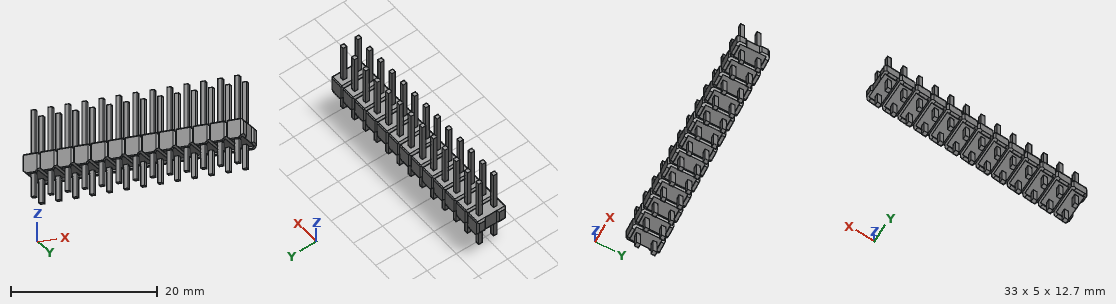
import cadquery as cq

LENGTH = 33.02
POSITIONS = 13
PITCH = LENGTH / POSITIONS

PIN_WIDTH = 0.63
PIN_LENGTH = 12.7
PIN_TAIL = 3.2

HOUSING_WIDTH = 5.0
HOUSING_HEIGHT = 2.8
END_INSET = 0.25
END_SETBACK = 0.315
SIDE_CHAMFER = 0.15
FOOT_CHAMFER = 0.55

CHANNEL_DEPTH = 0.3
FOOT_WIDTH = 0.5

RECESS_WIDTH = 1.88
RECESS_DEPTH = 0.248
RECESS_FLARE = 0.28

CUT_MARGIN = 0.33

housing_top = PIN_TAIL + HOUSING_HEIGHT
half_pitch = PITCH / 2
half_width = HOUSING_WIDTH / 2


def make_block():
    """One housing block: a plan outline intersected with its two side profiles."""
    plan = (
        cq.Workplane("XY")
        .workplane(offset=PIN_TAIL)
        .polyline([
            (half_pitch, half_width - END_SETBACK),
            (half_pitch - END_INSET, half_width),
            (END_INSET - half_pitch, half_width),
            (-half_pitch, half_width - END_SETBACK),
            (-half_pitch, END_SETBACK - half_width),
            (END_INSET - half_pitch, -half_width),
            (half_pitch - END_INSET, -half_width),
            (half_pitch, END_SETBACK - half_width),
        ])
        .close()
        .extrude(HOUSING_HEIGHT)
    )
    front_profile = (
        cq.Workplane("XZ")
        .polyline([
            (FOOT_CHAMFER - half_pitch, PIN_TAIL),
            (half_pitch - FOOT_CHAMFER, PIN_TAIL),
            (half_pitch, PIN_TAIL + FOOT_CHAMFER),
            (half_pitch, housing_top - END_SETBACK),
            (half_pitch - END_INSET, housing_top),
            (END_INSET - half_pitch, housing_top),
            (-half_pitch, housing_top - END_SETBACK),
            (-half_pitch, PIN_TAIL + FOOT_CHAMFER),
        ])
        .close()
        .extrude(half_width, both=True)
    )
    inner_foot = half_width - FOOT_WIDTH
    channel_top = PIN_TAIL + CHANNEL_DEPTH
    end_profile = (
        cq.Workplane("YZ")
        .polyline([
            (-half_width, PIN_TAIL),
            (-inner_foot, PIN_TAIL),
            (-inner_foot, channel_top),
            (inner_foot, channel_top),
            (inner_foot, PIN_TAIL),
            (half_width, PIN_TAIL),
            (half_width, housing_top - SIDE_CHAMFER),
            (half_width - SIDE_CHAMFER, housing_top),
            (SIDE_CHAMFER - half_width, housing_top),
            (-half_width, housing_top - SIDE_CHAMFER),
        ])
        .close()
        .extrude(half_pitch, both=True)
    )
    return plan.intersect(front_profile).intersect(end_profile)


def make_end_recess(side):
    """Cutter for the flared recess in one end face; side is -1 or +1 along X."""
    face_x = side * LENGTH / 2
    floor_x = face_x - side * RECESS_DEPTH
    floor_half = RECESS_WIDTH / 2
    mouth_half = floor_half + RECESS_FLARE
    return (
        cq.Workplane("XY")
        .workplane(offset=PIN_TAIL - CUT_MARGIN)
        .polyline([
            (floor_x, -floor_half),
            (face_x, -mouth_half),
            (face_x, mouth_half),
            (floor_x, floor_half),
        ])
        .close()
        .extrude(HOUSING_HEIGHT + 2 * CUT_MARGIN)
    )


position_centres = [(i - (POSITIONS - 1) / 2) * PITCH for i in range(POSITIONS)]

block = make_block()
result = cq.Workplane("XY")
for x in position_centres:
    result = result.union(block.translate((x, 0, 0)))
for side in (-1, 1):
    result = result.cut(make_end_recess(side))

pins = (
    cq.Workplane("XY")
    .pushPoints([(x, row * half_pitch) for x in position_centres for row in (-1, 1)])
    .rect(PIN_WIDTH, PIN_WIDTH)
    .extrude(PIN_LENGTH)
)
result = result.union(pins)